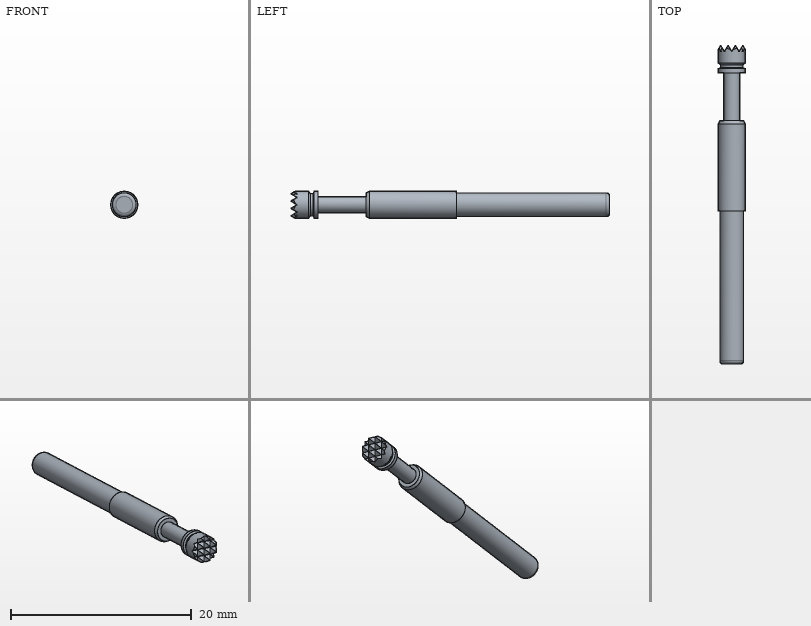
import cadquery as cq

overall_length = 35.3
tip_y = overall_length / 2
tail_y = -overall_length / 2

head_radius = 3.0 / 2
head_length = 3.05
tooth_rows = 4
tooth_pitch = 0.8
tooth_depth = 0.67

groove_radius = 2.5 / 2
groove_front_slope_length = 0.18
groove_floor_length = 0.32
groove_back_slope_length = 0.1
flange_length = 0.45

plunger_radius = 1.8 / 2
plunger_length = 5.3

collar_radius = head_radius
collar_length = 10.0
collar_chamfer_length = 0.35
collar_chamfer_width = 0.18
tail_radius = 2.65 / 2
tail_fillet = 0.4


def turned_body():
    """Revolve the half outline (radius along X, length along Y) about the Y axis."""
    head_back_y = tip_y - head_length
    flange_front_y = head_back_y + flange_length
    floor_back_y = flange_front_y + groove_back_slope_length
    floor_front_y = floor_back_y + groove_floor_length
    collar_front_y = head_back_y - plunger_length
    collar_back_y = collar_front_y - collar_length
    outline = [
        (0, tip_y),
        (head_radius, tip_y),
        (head_radius, floor_front_y + groove_front_slope_length),
        (groove_radius, floor_front_y),
        (groove_radius, floor_back_y),
        (head_radius, flange_front_y),
        (head_radius, head_back_y),
        (plunger_radius, head_back_y),
        (plunger_radius, collar_front_y),
        (collar_radius - collar_chamfer_width, collar_front_y),
        (collar_radius, collar_front_y - collar_chamfer_length),
        (collar_radius, collar_back_y),
        (tail_radius, collar_back_y),
        (tail_radius, tail_y),
        (0, tail_y),
    ]
    body = cq.Workplane("XY").polyline(outline).close().revolve(360, (0, 0, 0), (0, 1, 0))
    return body.faces("<Y").edges().fillet(tail_fillet)


def tooth_groove(valley_x):
    """V groove along Z, sunk into the tip with its valley at the given X."""
    half_pitch = tooth_pitch / 2
    profile = [
        (valley_x, tip_y - tooth_depth),
        (valley_x + half_pitch, tip_y),
        (valley_x - half_pitch, tip_y),
    ]
    return cq.Workplane("XY").polyline(profile).close().extrude(2 * head_radius, both=True)


def cut_teeth(body):
    """Cross two sets of V grooves so that the tip becomes a grid of pyramid teeth."""
    for index in range(tooth_rows + 1):
        groove = tooth_groove((index - tooth_rows / 2) * tooth_pitch)
        body = body.cut(groove)
        body = body.cut(groove.rotate((0, 0, 0), (0, 1, 0), 90))
    return body


result = cut_teeth(turned_body())